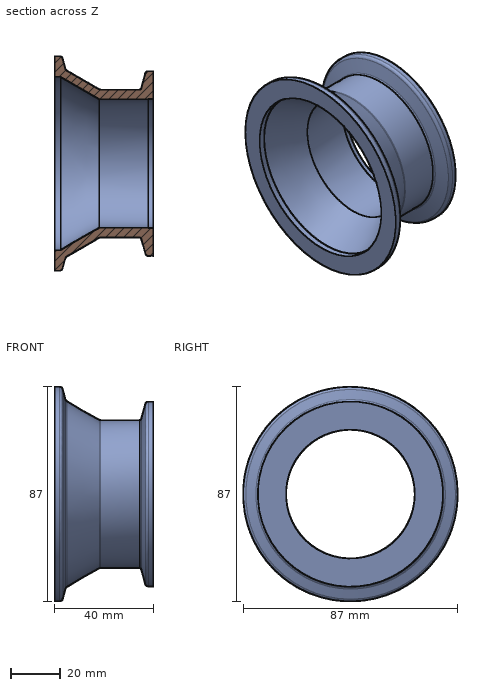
import cadquery as cq
import math

length = 40.0
rim_width = 2.0
rim_round = 1.4
flank_angle = 15.0

large_flange_radius = 87.0 / 2
small_flange_radius = 75.0 / 2
large_bore_radius = 70.3 / 2
cone_mouth_radius = 70.0 / 2
tube_outer_radius = 60.0 / 2
tube_bore_radius = 52.0 / 2
small_bore_radius = 52.2 / 2

cone_angle = 30.0
cone_end = 18.3
small_bore_depth = 2.0
cone_root_round = 1.2
bend_round = 1.05
tube_root_round = 0.7

flank_slope = math.tan(math.radians(flank_angle))
cone_slope = math.tan(math.radians(cone_angle))


def sharp_shoulder(width, round_radius):
    """Distance from the end face to the unrounded corner of rim and flank."""
    half_turn = math.radians(90 - flank_angle) / 2
    return width + round_radius * math.tan(half_turn)


shoulder = sharp_shoulder(rim_width, rim_round)

cone_root_radius = (
    tube_outer_radius + cone_slope * (cone_end - shoulder - flank_slope * large_flange_radius)
) / (1 - cone_slope * flank_slope)
cone_root_x = shoulder + flank_slope * (large_flange_radius - cone_root_radius)
tube_root_x = length - shoulder - flank_slope * (small_flange_radius - tube_outer_radius)

inner_cone_end = 18.1
inner_cone_start = inner_cone_end - (cone_mouth_radius - tube_bore_radius) / cone_slope


def revolve_profile(points):
    """Turn a closed (x, radius) outline about the X axis."""
    return cq.Workplane("XY").polyline(points).close().revolve(360, (0, 0, 0), (1, 0, 0))


def round_edge(body, x, radius, round_radius):
    """Round the circular edge found at the given x and radius."""
    reach = 0.04
    lower = (x - reach, -radius - reach, -radius - reach)
    upper = (x + reach, radius + reach, radius + reach)
    ring = body.edges(cq.selectors.BoxSelector(lower, upper, boundingbox=True))
    ring = ring.edges(cq.selectors.RadiusNthSelector(-1))
    return ring.fillet(round_radius)


outer_body = revolve_profile([
    (0, 0),
    (0, large_flange_radius),
    (shoulder, large_flange_radius),
    (cone_root_x, cone_root_radius),
    (cone_end, tube_outer_radius),
    (tube_root_x, tube_outer_radius),
    (length - shoulder, small_flange_radius),
    (length, small_flange_radius),
    (length, 0),
])

outer_body = round_edge(outer_body, shoulder, large_flange_radius, rim_round)
outer_body = round_edge(outer_body, cone_root_x, cone_root_radius, cone_root_round)
outer_body = round_edge(outer_body, cone_end, tube_outer_radius, bend_round)
outer_body = round_edge(outer_body, tube_root_x, tube_outer_radius, tube_root_round)
outer_body = round_edge(outer_body, length - shoulder, small_flange_radius, rim_round)

bore = revolve_profile([
    (0, 0),
    (0, large_bore_radius),
    (inner_cone_start, large_bore_radius),
    (inner_cone_start, cone_mouth_radius),
    (inner_cone_end, tube_bore_radius),
    (length - small_bore_depth, tube_bore_radius),
    (length - small_bore_depth, small_bore_radius),
    (length, small_bore_radius),
    (length, 0),
])

result = outer_body.cut(bore)